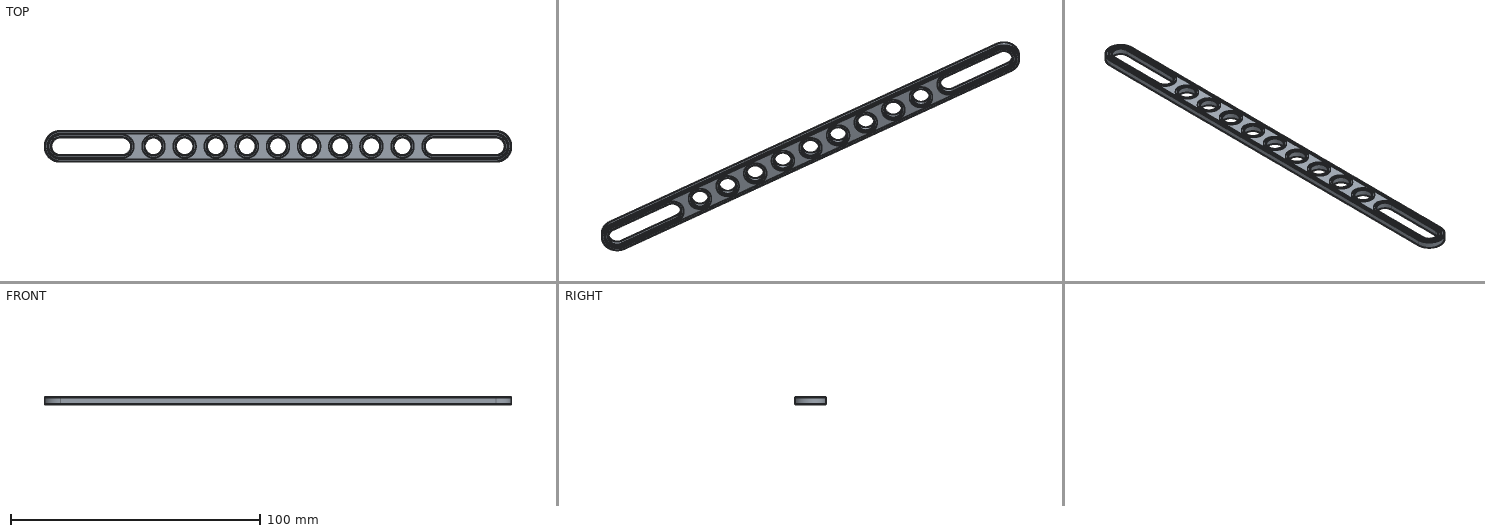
import cadquery as cq

length = 187.5
cell_count = 15
pitch = length / cell_count
width = pitch
thickness = pitch / 4
bar_travel = length - width
edge_chamfer = 0.3

hole_count = 9
opening_width = 7.0
slot_travel = 2 * pitch
slot_center_x = (bar_travel - slot_travel) / 2

border_width = 1.1
collar_width = 9.2
recess_depth = 0.2


def obround(travel, across, height):
    """Prism with two straight sides and round ends, standing on z = 0."""
    return cq.Workplane("XY").slot2D(travel + across, across).extrude(height)


def hole_and_slot_prisms(across, height):
    """One prism of the given width over every hole and slot, standing on z = 0."""
    hole_centers = [((i - (hole_count - 1) / 2) * pitch, 0) for i in range(hole_count)]
    prisms = cq.Workplane("XY").pushPoints(hole_centers).circle(across / 2).extrude(height)
    for side in (-1, 1):
        slot = obround(slot_travel, across, height)
        prisms = prisms.union(slot.translate((side * slot_center_x, 0, 0)))
    return prisms


def web_recess():
    """Material removed from one face, standing on z = 0."""
    pocket = obround(bar_travel, width - 2 * border_width, recess_depth)
    return pocket.cut(hole_and_slot_prisms(collar_width, recess_depth))


bar = obround(bar_travel, width, thickness)
bar = bar.cut(hole_and_slot_prisms(opening_width, thickness))

bar = bar.faces("<Z or >Z").edges().chamfer(edge_chamfer)

for floor_z in (0, thickness - recess_depth):
    bar = bar.cut(web_recess().translate((0, 0, floor_z)))

result = bar